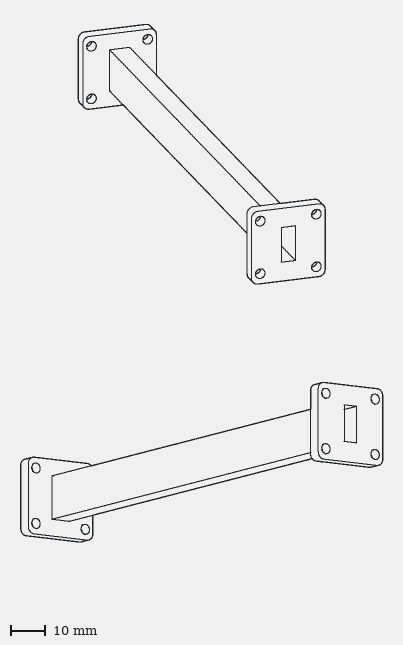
import cadquery as cq

length = 152.4
flange_side = 22.4
flange_thickness = 4.0
corner_radius = 2.0

tube_width = 6.1
tube_height = 12.6
bore_width = 4.3
bore_height = 10.7

hole_diameter = 2.9
hole_pitch_y = 17.0
hole_pitch_z = 16.2


def flange(start_x):
    """Square flange with rounded corners and four bolt holes, starting at start_x."""
    plate = (
        cq.Workplane("YZ", origin=(start_x, 0, 0))
        .rect(flange_side, flange_side)
        .extrude(flange_thickness)
        .edges("|X")
        .fillet(corner_radius)
    )
    return (
        plate.faces(">X")
        .workplane(centerOption="CenterOfBoundBox")
        .rect(hole_pitch_y, hole_pitch_z, forConstruction=True)
        .vertices()
        .hole(hole_diameter)
    )


def bar(width, height):
    """Full-length rectangular bar centred on the X axis."""
    return cq.Workplane("XY").box(length, width, height)


guide = bar(tube_width, tube_height)
for start_x in (-length / 2, length / 2 - flange_thickness):
    guide = guide.union(flange(start_x))

result = guide.cut(bar(bore_width, bore_height))